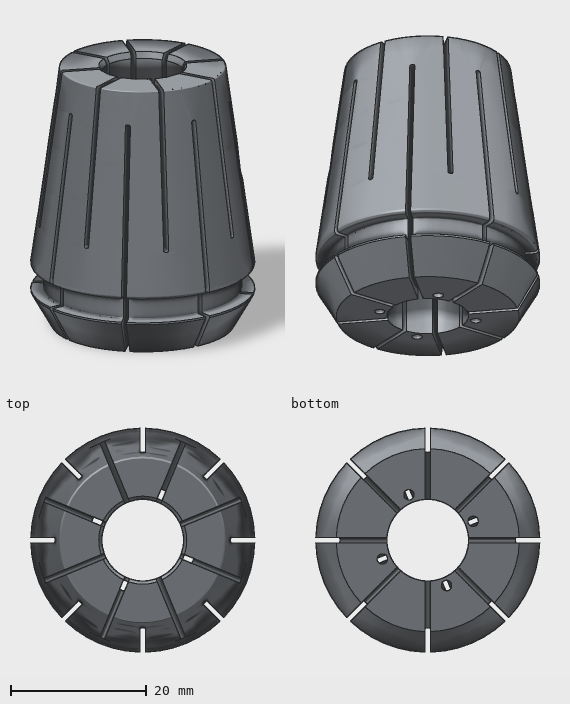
import cadquery as cq
import math

length = 40.0
bore_radius = 6.0
rim_diameter = 33.0
rim_radius = rim_diameter / 2

nose_angle = 30.0
rim_bottom = 5.25
nose_radius = rim_radius - rim_bottom * math.tan(math.radians(nose_angle))

groove_bottom = 5.5
groove_top = 9.05
groove_radius = 14.6
groove_fillet = 0.15

taper_angle = 8.0
taper_slope = math.tan(math.radians(taper_angle))
taper_base = 9.7
taper_edge_fillet = 0.5
top_edge_fillet = 0.3

mouth_radius = 6.5
mouth_depth = 0.9

slot_count = 8
slot_width = 0.75
slot_pitch = 360.0 / slot_count
lower_slot_end = 35.0
upper_slot_end = 16.0
slot_overrun = 8.0

hole_count = 4
hole_diameter = 1.5
hole_circle_radius = 7.25
hole_depth = upper_slot_end


def taper_radius(height):
    """Radius of the clamping taper at the given height."""
    return rim_radius - (height - taper_base) * taper_slope


def round_corner(section, radius, height, fillet):
    """Fillet the corner of the half section at the given radius and height."""
    corner = cq.selectors.NearestToPointSelector((radius, height, 0))
    return section.reset().vertices(corner).fillet(fillet).reset()


def make_body():
    """Solid of revolution from the collet's half section with its corners rounded."""
    outline = [
        (bore_radius, 0),
        (nose_radius, 0),
        (rim_radius, rim_bottom),
        (rim_radius, groove_bottom),
        (groove_radius, groove_bottom),
        (groove_radius, groove_top),
        (rim_radius, groove_top),
        (rim_radius, taper_base),
        (taper_radius(length), length),
        (mouth_radius, length),
        (bore_radius, length - mouth_depth),
        (bore_radius, 0),
    ]
    section = cq.Sketch().polygon(outline)
    section = round_corner(section, groove_radius, groove_bottom, groove_fillet)
    section = round_corner(section, groove_radius, groove_top, groove_fillet)
    section = round_corner(section, rim_radius, groove_top, taper_edge_fillet)
    section = round_corner(section, taper_radius(length), length, top_edge_fillet)
    return cq.Workplane("XZ").placeSketch(section).revolve(360, (0, 0), (0, 1))


def make_slot(angle, open_z, round_z, tilt):
    """Radial slot from open_z to a half-round end that meets the taper at round_z.

    The slot is tipped by tilt about the point where its end meets the taper.
    """
    half_width = slot_width / 2
    into_slot = math.copysign(half_width, open_z - round_z)
    arc_z = round_z + into_slot
    surface_radius = taper_radius(round_z)
    overrun_z = open_z + math.copysign(slot_overrun, open_z - round_z)
    slot = (
        cq.Workplane("YZ")
        .moveTo(-half_width, overrun_z)
        .lineTo(-half_width, arc_z)
        .threePointArc((0, round_z), (half_width, arc_z))
        .lineTo(half_width, overrun_z)
        .close()
        .extrude(2 * rim_radius)
    )
    slot = slot.rotate((surface_radius, 0, round_z), (surface_radius, 1, round_z), tilt)
    return slot.rotate((0, 0, 0), (0, 0, 1), angle)


def make_holes():
    """Blind axial holes on a circle, in line with alternate upper slots."""
    return (
        cq.Workplane("XY")
        .polarArray(hole_circle_radius, 1.5 * slot_pitch, 360, hole_count)
        .circle(hole_diameter / 2)
        .extrude(hole_depth)
    )


result = make_body()
for index in range(slot_count):
    lower_angle = index * slot_pitch
    upper_angle = lower_angle + slot_pitch / 2
    result = result.cut(make_slot(lower_angle, 0, lower_slot_end, taper_angle))
    result = result.cut(make_slot(upper_angle, length, upper_slot_end, -taper_angle))
result = result.cut(make_holes())